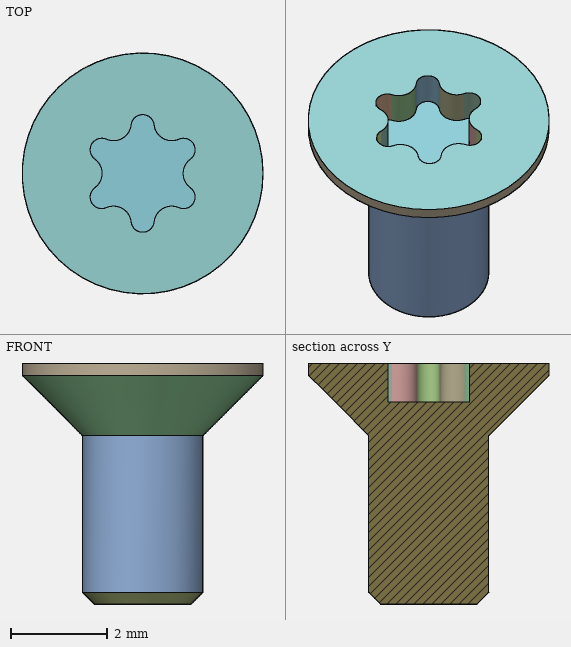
import cadquery as cq
import math

head_diameter = 5.0
shank_diameter = 2.5
length = 5.0
rim_height = 0.25
tip_chamfer = 0.25

lobe_count = 6
lobe_reach = 1.22
flute_reach = 0.84
lobe_radius = 0.24
socket_depth = 0.8

head_radius = head_diameter / 2
shank_radius = shank_diameter / 2
rim_bottom = length - rim_height
cone_height = head_radius - shank_radius


def polar(radius, angle):
    return (radius * math.cos(angle), radius * math.sin(angle))


def make_body():
    """Revolve the half section of the screw about Z."""
    return (
        cq.Workplane("XZ")
        .polyline([
            (0, 0),
            (shank_radius - tip_chamfer, 0),
            (shank_radius, tip_chamfer),
            (shank_radius, rim_bottom - cone_height),
            (head_radius, rim_bottom),
            (head_radius, length),
            (0, length),
        ])
        .close()
        .revolve(360, (0, 0), (0, 1))
    )


def make_socket():
    """Extrude the lobed outline down from the top face."""
    half_pitch = math.pi / lobe_count
    lobe_center = lobe_reach - lobe_radius
    cos_half = math.cos(half_pitch)
    flute_radius = (
        lobe_center**2 + flute_reach**2 - lobe_radius**2
        - 2 * lobe_center * flute_reach * cos_half
    ) / (2 * (lobe_radius - flute_reach + lobe_center * cos_half))
    flute_center = flute_reach + flute_radius

    lobe_share = lobe_radius / (lobe_radius + flute_radius)
    flute_x, flute_y = polar(flute_center, half_pitch)
    joint_x = lobe_center + lobe_share * (flute_x - lobe_center)
    joint_y = lobe_share * flute_y
    joint_reach = math.hypot(joint_x, joint_y)
    joint_angle = math.atan2(joint_y, joint_x)

    first_lobe = math.pi / 2
    outline = cq.Workplane("XY", origin=(0, 0, length)).moveTo(
        *polar(joint_reach, first_lobe - joint_angle)
    )
    for index in range(lobe_count):
        lobe = first_lobe + index * 2 * half_pitch
        next_lobe = lobe + 2 * half_pitch
        outline = outline.threePointArc(
            polar(lobe_reach, lobe), polar(joint_reach, lobe + joint_angle)
        ).threePointArc(
            polar(flute_reach, lobe + half_pitch),
            polar(joint_reach, next_lobe - joint_angle),
        )
    return outline.close().extrude(-socket_depth)


result = make_body().cut(make_socket())